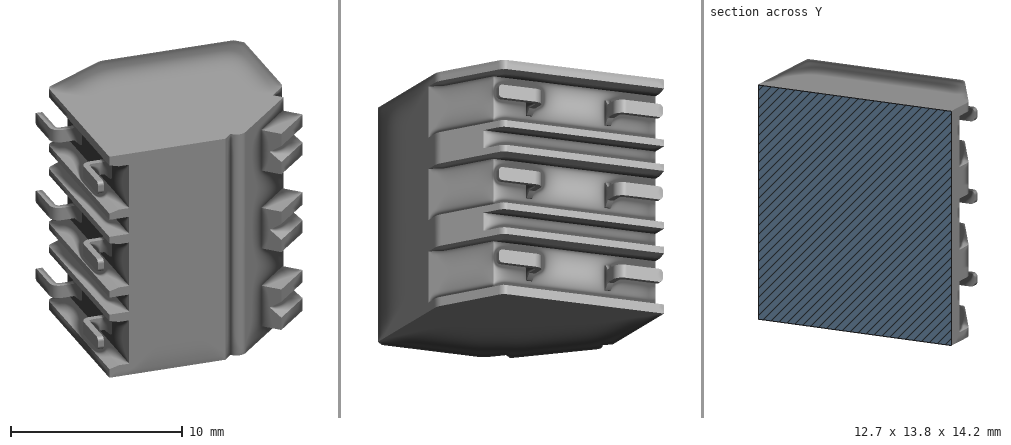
import cadquery as cq
import math

width = 12.7
depth = 12.94
height = 14.2
poles = 3
pitch = 5.0
pole_heights = [(i - (poles - 1) / 2) * pitch for i in range(poles)]

back_chamfer = 0.5
slant_angle = math.radians(60)
slant_top = 4.13
slant_foot = slant_top / math.tan(slant_angle)
slant_top_radius = 1.04
slant_foot_radius = 0.5
bevel_sum = 19.91
bevel_radius = 0.71
step = 0.48
land_start = 7.98
land_end = 12.17
land_radius = 0.6

floor_y = 1.24
recess_slant_top = 5.28
recess_opening = 3.1
rim_taper_height = 0.15
rim_taper_width = 0.6
groove_height = 1.1

button_start = 8.55
button_length = 2.12
button_rise = 0.91
button_height = 2.6
notch_half_width = 0.51
notch_depth = 0.74

pin_centre_x = 7.1
pin_tip_offset = 5.25
pin_leg_offset = 2.7
pin_thickness = 0.37
pin_front_y = -0.58
pin_width = 0.8
pin_root_width = 1.5
pin_root_end_y = 1.12
pin_embed = 0.57
bend_radius = 0.21
tip_radius = 0.24

land_sum = bevel_sum + 2 * step


def round_corner(body, x, y, radius):
    """Round the vertical edge that stands at (x, y)."""
    reach = 0.01
    corner = cq.selectors.BoxSelector(
        (x - reach, y - reach, -height),
        (x + reach, y + reach, height),
    )
    return body.edges(corner).fillet(radius)


def make_block():
    """Full-height prism of the housing outline with its rounded corners."""
    land_tip_x = land_end + step
    bevel_top_x = bevel_sum - depth
    block = (
        cq.Workplane("XY")
        .polyline([
            (slant_foot, 0),
            (width, 0),
            (width, bevel_sum - width),
            (land_end, bevel_sum - land_end),
            (land_tip_x, land_sum - land_tip_x),
            (land_start + step, land_sum - land_start - step),
            (land_start, bevel_sum - land_start),
            (bevel_top_x, depth),
            (back_chamfer, depth),
            (0, depth - back_chamfer),
            (0, slant_top),
        ])
        .close()
        .extrude(height / 2, both=True)
    )
    block = round_corner(block, slant_foot, 0, slant_foot_radius)
    block = round_corner(block, 0, slant_top, slant_top_radius)
    block = round_corner(block, bevel_top_x, depth, bevel_radius)
    return round_corner(block, land_tip_x, land_sum - land_tip_x, land_radius)


def make_recess():
    """Space in front of the recess floor, open at the front, left and right."""
    clearance = 0.71
    floor_corner_x = (recess_slant_top - floor_y) / math.tan(slant_angle)
    return (
        cq.Workplane("XY")
        .polyline([
            (0, recess_slant_top),
            (floor_corner_x, floor_y),
            (width, floor_y),
            (width, -clearance),
            (-clearance, -clearance),
            (-clearance, recess_slant_top),
        ])
        .close()
        .extrude(recess_opening / 2, both=True)
    )


def make_rim_taper():
    """Tapered lip on the bottom wall of a recess, following the rim.

    It runs past the right side so that only the front and slanted edges taper.
    """
    overrun = 2 * rim_taper_width
    outline = (
        cq.Workplane("XY")
        .polyline([
            (slant_foot, 0),
            (width + overrun, 0),
            (width + overrun, depth / 2 + overrun),
            (0, depth / 2 + overrun),
            (0, slant_top),
        ])
        .close()
    )
    taper = math.degrees(math.atan(rim_taper_width / rim_taper_height))
    base = outline.extrude(-rim_taper_height)
    base = round_corner(base, 0, slant_top, slant_top_radius)
    lip = (
        base.faces(">Z").wires().toPending().workplane()
        .extrude(rim_taper_height, taper=taper, combine=False)
    )
    return lip.translate((0, 0, -recess_opening / 2))


def make_button():
    """Push button square to the land, with a V notch across its face."""
    sink = step / 2
    base_y = land_sum - button_start
    button = (
        cq.Workplane("XY")
        .polyline([
            (button_start - sink, base_y - sink),
            (button_start + button_rise, base_y + button_rise),
            (button_start + button_rise + button_length, base_y + button_rise - button_length),
            (button_start + button_length - sink, base_y - button_length - sink),
        ])
        .close()
        .extrude(button_height / 2, both=True)
    )
    along = cq.Vector(1, -1, 0)
    face_corner = cq.Vector(button_start + button_rise, base_y + button_rise, 0)
    notch = (
        cq.Workplane(cq.Plane(origin=face_corner, xDir=(0, 0, -1), normal=along))
        .polyline([(-notch_half_width, 0), (0, -notch_depth), (notch_half_width, 0)])
        .close()
        .extrude(button_length * math.sqrt(2))
    )
    return button.cut(notch)


def make_right_pin():
    """Bent pin whose foot points toward +X, relative to the pin centre plane."""
    root_y = floor_y + pin_embed
    foot_back_y = pin_front_y + pin_thickness
    inner_x = pin_leg_offset
    outer_x = inner_x - pin_thickness
    strip = (
        cq.Workplane("XY")
        .polyline([
            (outer_x, root_y),
            (outer_x, pin_front_y),
            (pin_tip_offset, pin_front_y),
            (pin_tip_offset, foot_back_y),
            (inner_x, foot_back_y),
            (inner_x, root_y),
        ])
        .close()
        .extrude(pin_root_width / 2, both=True)
    )
    strip = round_corner(strip, outer_x, pin_front_y, bend_radius + pin_thickness)
    strip = round_corner(strip, inner_x, foot_back_y, bend_radius)

    half_root = pin_root_width / 2
    half_pin = pin_width / 2
    shoulder_y = pin_root_end_y - (half_root - half_pin)
    front_profile = (
        cq.Workplane("YZ")
        .polyline([
            (root_y, -half_root),
            (pin_root_end_y, -half_root),
            (shoulder_y, -half_pin),
            (pin_front_y, -half_pin),
            (pin_front_y, half_pin),
            (shoulder_y, half_pin),
            (pin_root_end_y, half_root),
            (root_y, half_root),
        ])
        .close()
        .extrude(pin_tip_offset)
    )
    return strip.intersect(front_profile).faces(">X").edges("|Y").fillet(tip_radius)


recess = make_recess()
lower_lip = make_rim_taper()
upper_lip = lower_lip.mirror("XY")
recess = recess.cut(lower_lip).cut(upper_lip)
button = make_button()
right_pin = make_right_pin()
pin_pair = right_pin.union(right_pin.mirror("YZ")).translate((pin_centre_x, 0, 0))

result = make_block()
for z in pole_heights:
    result = result.cut(recess.translate((0, 0, z)))

for z in pole_heights[:-1]:
    groove = cq.Workplane("XY").box(width, floor_y, groove_height, centered=(False, False, True))
    result = result.cut(groove.translate((0, 0, z + pitch / 2)))

for z in pole_heights:
    result = result.union(button.translate((0, 0, z)))
    result = result.union(pin_pair.translate((0, 0, z)))